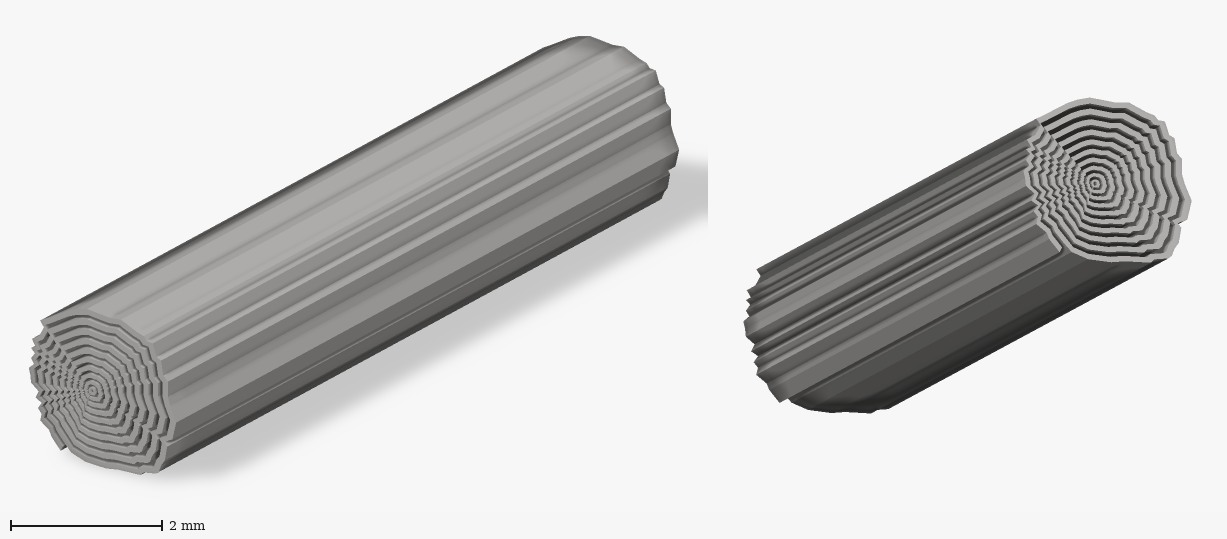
import cadquery as cq

length = 12.0
axis_x = -0.04
axis_z = 0.06
turn_count = 10
tightening = 1.3
sheet_share = 0.55

crumpled_turn = [
    (-0.53, -0.89), (-0.67, -0.72), (-0.71, -0.64), (-0.85, -0.53), (-0.83, -0.43),
    (-0.89, -0.36), (-0.83, -0.28), (-0.92, -0.22), (-0.88, -0.12), (-1.0, -0.02),
    (-1.01, 0.08), (-1.03, 0.18), (-0.95, 0.25), (-1.0, 0.32), (-0.94, 0.41), (-1.0, 0.47),
    (-0.92, 0.5), (-0.98, 0.6), (-0.86, 0.67), (-0.79, 0.8), (-0.85, 0.89),
    (-0.75, 0.94), (-0.43, 1.12), (-0.28, 1.18), (-0.11, 1.21), (0.25, 1.16),
    (0.43, 1.18), (0.68, 1.05), (0.79, 1.02), (0.84, 0.96), (0.94, 0.95),
    (1.0, 0.77), (1.07, 0.73), (1.1, 0.53), (1.18, 0.45), (1.18, 0.24),
    (1.21, 0.12), (1.31, -0.1), (1.25, -0.35), (1.12, -0.41), (1.16, -0.47),
    (1.13, -0.67), (1.07, -0.75), (1.03, -0.85),
    (0.98, -0.89), (0.79, -0.91), (0.75, -0.96), (0.38, -0.96), (0.19, -0.98),
    (-0.13, -0.96), (-0.36, -0.88),
]


def turn_scale(turn):
    """Size of a turn as a share of the outermost one, falling to zero on the axis."""
    return (1 - turn / turn_count) ** tightening


def drawn_in(x, z, scale):
    """A crease point drawn in toward the winding axis."""
    return axis_x + (x - axis_x) * scale, axis_z + (z - axis_z) * scale


def sheet_face(depth):
    """Crease points from the free edge inward, set in by a share of each turn's pitch."""
    points = []
    for turn in range(turn_count):
        pitch = turn_scale(turn) - turn_scale(turn + 1)
        scale = turn_scale(turn) - depth * pitch
        points += [drawn_in(x, z, scale) for x, z in crumpled_turn]
    return points


outer_face = sheet_face(0)
inner_face = sheet_face(sheet_share)

result = (
    cq.Workplane("XZ")
    .polyline(outer_face + inner_face[::-1])
    .close()
    .extrude(length / 2, both=True)
)